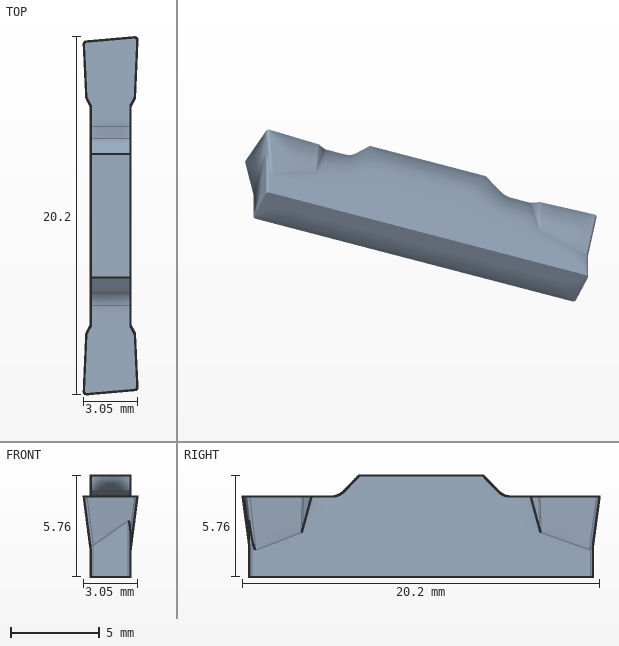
import cadquery as cq
import math


shank_width = 2.27
shank_length = 19.49
shank_corner_radius = 0.15
total_height = 5.76

land_height = 4.57
crown_length = 7.02
ramp_angle = 46.0
ramp_radius = 0.97

head_reach = 10.135
head_width = 3.065
edge_angle = 5.0
side_relief_angle = 2.5
shoulder_start = 6.7
shoulder_end = 6.21
root_end = 5.5
clearance_angle = 7.0
nose_radius = 0.17
shoulder_radius = 0.2


def make_shank():
    """Shank profile in the YZ plane, extruded across the width."""
    half_length = shank_length / 2
    half_crown = crown_length / 2
    angle = math.radians(ramp_angle)
    arc_drop = ramp_radius * (1 - math.cos(angle))
    ramp_run = (total_height - land_height - arc_drop) / math.tan(angle)
    arc_start_y = half_crown + ramp_run
    land_y = arc_start_y + ramp_radius * math.sin(angle)
    arc_middle_y = land_y - ramp_radius * math.sin(angle / 2)
    arc_middle_z = land_height + ramp_radius * (1 - math.cos(angle / 2))
    arc_start_z = land_height + arc_drop

    profile = (
        cq.Workplane("YZ")
        .moveTo(-half_length, 0)
        .lineTo(half_length, 0)
        .lineTo(half_length, land_height)
        .lineTo(land_y, land_height)
        .threePointArc((arc_middle_y, arc_middle_z), (arc_start_y, arc_start_z))
        .lineTo(half_crown, total_height)
        .lineTo(-half_crown, total_height)
        .lineTo(-arc_start_y, arc_start_z)
        .threePointArc((-arc_middle_y, arc_middle_z), (-land_y, land_height))
        .lineTo(-half_length, land_height)
        .close()
    )
    shank = profile.extrude(shank_width / 2, both=True)
    return shank.edges("|Z").fillet(shank_corner_radius)


def make_head():
    """Head at the -Y end: its top outline tapers inward going down and dies into the shank."""
    half_width = head_width / 2
    half_shank = shank_width / 2
    edge_setback = head_width * math.tan(math.radians(edge_angle))
    side_length = head_reach - shoulder_start
    shoulder_half_width = half_width - side_length * math.tan(math.radians(side_relief_angle))
    shoulder_slope = (shoulder_half_width - half_shank) / (shoulder_start - shoulder_end)
    root_half_width = half_shank - shoulder_slope * (shoulder_end - root_end)

    outline = [
        (-half_width, -head_reach),
        (half_width, -head_reach + edge_setback),
        (shoulder_half_width, -shoulder_start),
        (root_half_width, -root_end),
        (-root_half_width, -root_end),
        (-shoulder_half_width, -shoulder_start),
    ]
    sketch = [(x, -y) for x, y in outline]
    head = (
        cq.Workplane("XY", origin=(0, 0, land_height))
        .transformed(rotate=(180, 0, 0))
        .polyline(sketch)
        .close()
        .extrude(land_height, taper=clearance_angle)
    )
    head = head.edges(edges_between(shoulder_start + side_length / 2, head_reach)).fillet(nose_radius)
    return head.edges(edges_between(shoulder_end, shoulder_start + side_length / 4)).fillet(shoulder_radius)


def edges_between(near, far):
    """Selector for the rising edges centred between two distances from the middle, towards -Y."""
    margin = land_height / 4
    return cq.selectors.BoxSelector(
        (-head_width, -far, margin),
        (head_width, -near, land_height - margin),
    )


head = make_head()
opposite_head = head.rotate((0, 0, 0), (0, 0, 1), 180)
result = make_shank().union(head).union(opposite_head)